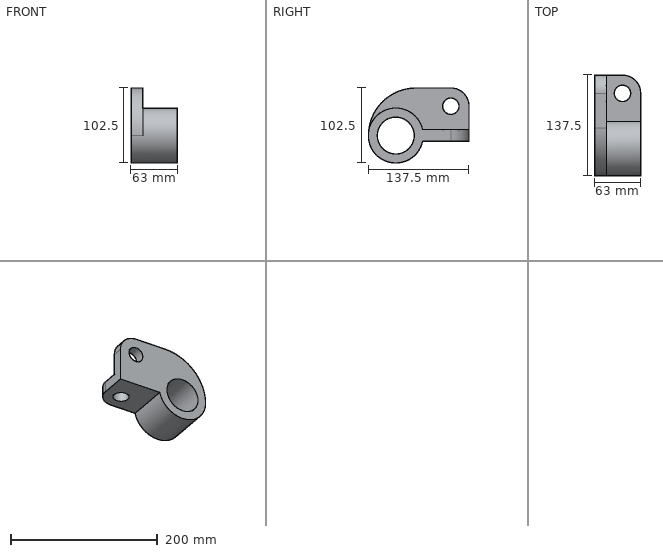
import cadquery as cq
import math

total_width = 63.0
tube_diameter = 75.0
bore_diameter = 50.0

plate_thickness = 16.0
lug_end_y = 100.0
plate_top_z = 65.0
corner_radius = 25.0
lug_hole_diameter = 22.0

tube_radius = tube_diameter / 2
flange_top_z = plate_thickness / 2
flange_bottom_z = -plate_thickness / 2
hole_y = lug_end_y - corner_radius
upright_hole_z = plate_top_z - corner_radius
flange_hole_x = total_width - corner_radius

crown_radius = plate_top_z
crown_center_y = crown_radius - tube_radius

cos_45 = math.cos(math.radians(45))


def make_upright_plate():
    """Upright plate with a large crown arc, a rounded corner and a small hole."""
    plate = (
        cq.Workplane("YZ")
        .moveTo(-tube_radius, 0)
        .threePointArc(
            (crown_center_y - crown_radius * cos_45, crown_radius * cos_45),
            (crown_center_y, plate_top_z),
        )
        .lineTo(hole_y, plate_top_z)
        .threePointArc(
            (hole_y + corner_radius * cos_45, upright_hole_z + corner_radius * cos_45),
            (lug_end_y, upright_hole_z),
        )
        .lineTo(lug_end_y, flange_bottom_z)
        .lineTo(0, flange_bottom_z)
        .lineTo(0, 0)
        .close()
        .extrude(plate_thickness)
    )
    hole = (
        cq.Workplane("YZ")
        .center(hole_y, upright_hole_z)
        .circle(lug_hole_diameter / 2)
        .extrude(plate_thickness)
    )
    return plate.cut(hole)


def make_flange():
    """Horizontal plate from the tube to the lug end, with a rounded corner and a small hole."""
    plate = (
        cq.Workplane("XY", origin=(0, 0, flange_bottom_z))
        .lineTo(total_width, 0)
        .lineTo(total_width, hole_y)
        .threePointArc(
            (flange_hole_x + corner_radius * cos_45, hole_y + corner_radius * cos_45),
            (flange_hole_x, lug_end_y),
        )
        .lineTo(0, lug_end_y)
        .close()
        .extrude(plate_thickness)
    )
    hole = (
        cq.Workplane("XY", origin=(flange_hole_x, hole_y, flange_bottom_z))
        .circle(lug_hole_diameter / 2)
        .extrude(plate_thickness)
    )
    return plate.cut(hole)


def make_cylinder(diameter):
    """Full-width cylinder on the tube axis."""
    return cq.Workplane("YZ").circle(diameter / 2).extrude(total_width)


tube = make_cylinder(tube_diameter)
bore = make_cylinder(bore_diameter)
result = tube.union(make_upright_plate()).union(make_flange()).cut(bore)